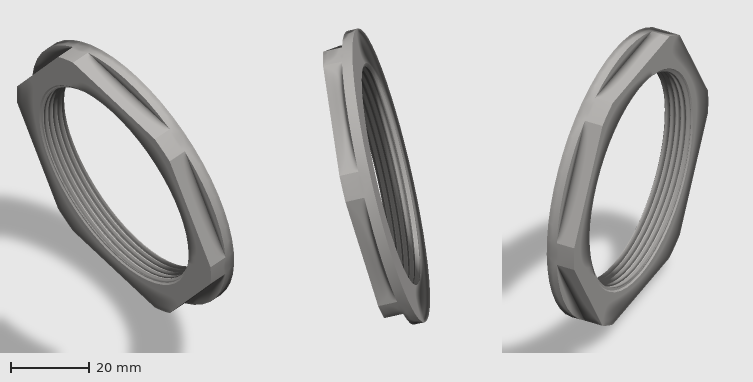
import cadquery as cq
import math

outer_diameter = 77.0
height = 7.8
flange_thickness = 2.8
across_flats = 69.85

bore_radius = 28.65
thread_depth = 0.9
thread_pitch = 1.5
thread_start_angle = 75
root_flat = 0.15
crest_flat = 0.2
chamfer_radius = 29.65
chamfer_depth = 0.4
tool_overlap = 0.1


def nut_body():
    """Round flange at the back and a hexagon with rounded corners in front."""
    disc = cq.Workplane("XY").circle(outer_diameter / 2).extrude(height)
    across_corners = across_flats / math.cos(math.pi / 6)
    hexagon = cq.Workplane("XY").polygon(6, across_corners).extrude(height)
    flange = cq.Workplane("XY").circle(outer_diameter / 2).extrude(flange_thickness)
    return disc.intersect(hexagon).union(flange)


def bore():
    """Plain cylinder at the crest diameter of the thread."""
    return cq.Workplane("XY").circle(bore_radius).extrude(height)


def lead_in():
    """45 degree countersink that opens the thread on the hexagon face."""
    inner_radius = chamfer_radius - chamfer_depth
    return (
        cq.Workplane("XZ")
        .moveTo(0, height - chamfer_depth)
        .lineTo(inner_radius, height - chamfer_depth)
        .lineTo(chamfer_radius, height)
        .lineTo(0, height)
        .close()
        .revolve(360, (0, 0, 0), (0, 1, 0))
    )


def thread_groove():
    """Helical V groove that runs out past both faces."""
    groove_half_width = (thread_pitch - crest_flat) / 2
    flank_slope = (groove_half_width - root_flat / 2) / thread_depth
    mouth_half_width = groove_half_width + tool_overlap * flank_slope
    start = -thread_pitch
    helix = cq.Wire.makeHelix(
        thread_pitch, height + 2 * thread_pitch, bore_radius, center=cq.Vector(0, 0, start)
    )
    mouth_radius = bore_radius - tool_overlap
    root_radius = bore_radius + thread_depth
    return (
        cq.Workplane("XZ")
        .moveTo(mouth_radius, start - mouth_half_width)
        .lineTo(root_radius, start - root_flat / 2)
        .lineTo(root_radius, start + root_flat / 2)
        .lineTo(mouth_radius, start + mouth_half_width)
        .close()
        .sweep(cq.Workplane(obj=helix), isFrenet=True)
        .rotate((0, 0, 0), (0, 0, 1), thread_start_angle)
    )


threaded_nut = nut_body().cut(bore()).cut(thread_groove(), clean=False)
nut = threaded_nut.cut(lead_in(), clean=False)

result = nut.rotate((0, 0, 0), (1, 0, 0), 90)